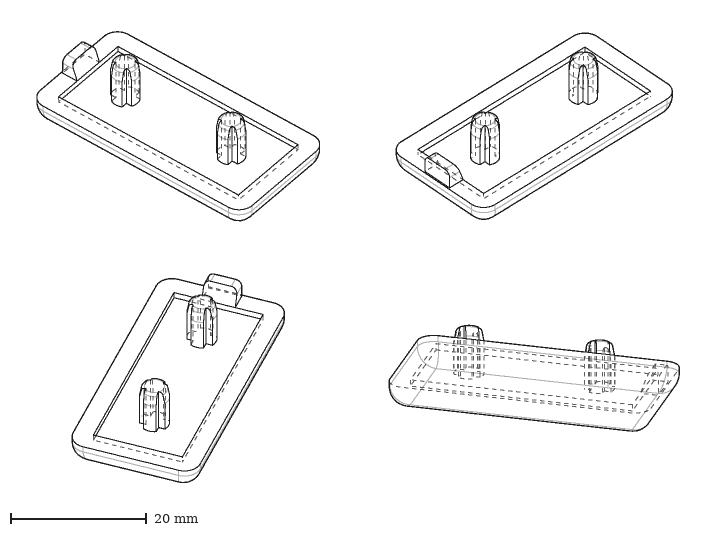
import cadquery as cq
import math

length = 40.0
width = 20.0
plate_height = 4.0
corner_radius = 2.5
bottom_radius = 3.0

rim_width = 3.0
pocket_depth = 1.0

peg_spacing = 20.0
peg_radius = 2.25
peg_height = 6.0
arm_width = 2.0
taper_height = 2.0
taper_angle = 10.0
peg_tip_fillet = 0.5

tab_setback = 0.25
tab_top_length = 1.7
tab_height = 3.0
tab_width = 5.25
tab_corner_radius = 1.0


def make_plate():
    """Round-cornered plate with large rounded bottom edges and a pocket."""
    plate = (
        cq.Workplane("XY")
        .box(length, width, plate_height, centered=(True, True, False))
        .translate((0, 0, -plate_height))
        .edges("|Z")
        .fillet(corner_radius)
        .faces("<Z")
        .edges()
        .fillet(bottom_radius)
    )
    pocket = cq.Workplane("XY").rect(length - 2 * rim_width, width - 2 * rim_width).extrude(-pocket_depth)
    return plate.cut(pocket)


def make_peg():
    """Round peg with a tapered, filleted tip, trimmed to a cross."""
    tip_radius = peg_radius - taper_height * math.tan(math.radians(taper_angle))
    total_height = peg_height + pocket_depth
    round_peg = (
        cq.Workplane("XZ")
        .moveTo(0, -pocket_depth)
        .lineTo(peg_radius, -pocket_depth)
        .lineTo(peg_radius, peg_height - taper_height)
        .lineTo(tip_radius, peg_height)
        .lineTo(0, peg_height)
        .close()
        .revolve(360, (0, 0, 0), (0, 1, 0))
        .faces(">Z")
        .edges()
        .fillet(peg_tip_fillet)
    )
    base = cq.Workplane("XY").workplane(offset=-pocket_depth)
    arm_x = base.rect(2 * peg_radius, arm_width).extrude(total_height)
    arm_y = base.rect(arm_width, 2 * peg_radius).extrude(total_height)
    return round_peg.intersect(arm_x.union(arm_y))


def make_tab():
    """Tab with an upright outer face, a sloped inner face and rounded top corners."""
    outer_x = -length / 2 + tab_setback
    inner_x = -length / 2 + rim_width
    return (
        cq.Workplane("XZ")
        .moveTo(outer_x, 0)
        .lineTo(inner_x, 0)
        .lineTo(outer_x + tab_top_length, tab_height)
        .lineTo(outer_x, tab_height)
        .close()
        .extrude(tab_width / 2, both=True)
        .intersect(
            cq.Workplane("XY")
            .box(length, tab_width, tab_height, centered=(True, True, False))
            .edges("|X and >Z")
            .fillet(tab_corner_radius)
        )
    )


result = make_plate().union(make_tab())
for peg_x in (-peg_spacing / 2, peg_spacing / 2):
    result = result.union(make_peg().translate((peg_x, 0, 0)))